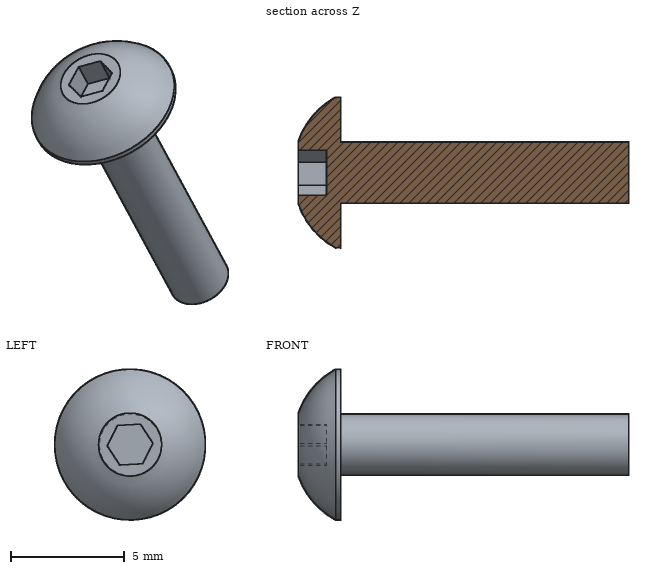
import cadquery as cq
import math

total_length = 14.55
head_diameter = 6.65
head_height = 1.88
rim_thickness = 0.23
crown_flat_diameter = 2.78
crown_bulge = 0.23
shank_diameter = 2.7
socket_across_flats = 1.75
socket_depth = 1.24
socket_turn = -3.2

head_face_x = -total_length / 2
seat_x = head_face_x + head_height
rim_x = seat_x - rim_thickness
head_radius = head_diameter / 2
crown_flat_radius = crown_flat_diameter / 2


def make_head():
    """Domed head: a flat crown, an arc down to the rim and a flat seat."""
    chord_x = rim_x - head_face_x
    chord_r = head_radius - crown_flat_radius
    chord_length = math.hypot(chord_x, chord_r)
    arc_middle = (
        (head_face_x + rim_x) / 2 - crown_bulge * chord_r / chord_length,
        (crown_flat_radius + head_radius) / 2 + crown_bulge * chord_x / chord_length,
    )
    return (
        cq.Workplane("XY")
        .moveTo(head_face_x, 0)
        .lineTo(head_face_x, crown_flat_radius)
        .threePointArc(arc_middle, (rim_x, head_radius))
        .lineTo(seat_x, head_radius)
        .lineTo(seat_x, 0)
        .close()
        .revolve(360, (0, 0, 0), (1, 0, 0))
    )


def make_shank():
    """Plain round shank, starting at the seat of the head."""
    shank_length = total_length - head_height
    return cq.Workplane("YZ", origin=(seat_x, 0, 0)).circle(shank_diameter / 2).extrude(shank_length)


def make_socket():
    """Flat-bottomed hexagon socket, turned slightly about the screw axis."""
    across_corners = socket_across_flats / math.cos(math.pi / 6)
    return (
        cq.Workplane("YZ", origin=(head_face_x, 0, 0))
        .polygon(6, across_corners)
        .extrude(socket_depth)
        .rotate((0, 0, 0), (1, 0, 0), socket_turn)
    )


result = make_head().union(make_shank()).cut(make_socket())